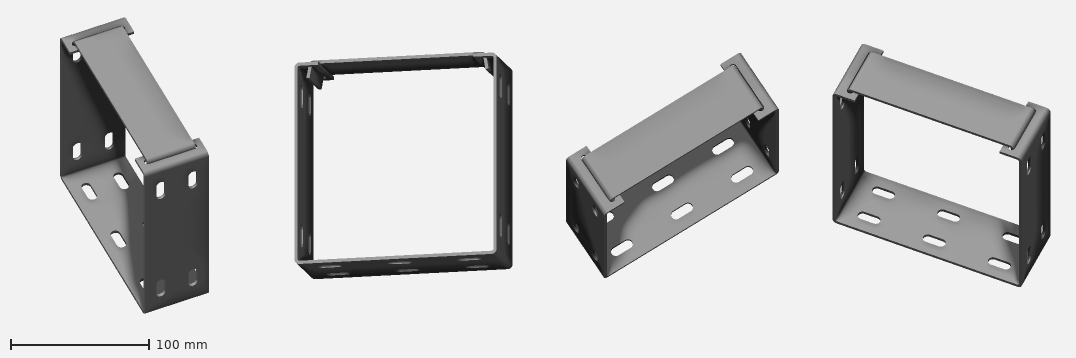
import cadquery as cq
import math

sheet = 2.4
bend_inner_radius = 1.25
bend_outer_radius = bend_inner_radius + sheet

bracket_width = 150.01
overall_height = 151.64
bracket_height = overall_height - sheet
bracket_depth = 50.8
lip_length = 17.6

slot_length = 17.5
slot_width = 7.1
slot_pitch = 51.6
slot_row_spacing = bracket_depth / 2
wall_slots_mid_z = 75.5
slot_rows = (-slot_row_spacing / 2, slot_row_spacing / 2)

leg_slot_length = 41.6
leg_slot_width = 5.0
leg_slot_inset = 11.1
leg_slot_x = bracket_width / 2 - leg_slot_inset

cover_depth = 38.1
cover_height = 13.0
cover_corner_width = 130.8
leg_lean = math.radians(10)


def make_bracket():
    outer = (
        cq.Workplane("XY")
        .box(bracket_width, bracket_depth, bracket_height, centered=(True, True, False))
        .edges("|Y")
        .fillet(bend_outer_radius)
    )
    inner = (
        cq.Workplane("XY", origin=(0, 0, sheet))
        .box(
            bracket_width - 2 * sheet,
            bracket_depth,
            bracket_height - 2 * sheet,
            centered=(True, True, False),
        )
        .edges("|Y")
        .fillet(bend_inner_radius)
    )
    top_opening = cq.Workplane("XY", origin=(0, 0, bracket_height / 2)).box(
        bracket_width - 2 * lip_length, bracket_depth, bracket_height, centered=(True, True, False)
    )
    frame = outer.cut(inner).cut(top_opening)
    return frame.cut(floor_slots()).cut(wall_slots()).cut(leg_slots()).solids()


def floor_slots():
    centers = [(x, y) for x in (-slot_pitch, 0, slot_pitch) for y in slot_rows]
    return cq.Workplane("XY").pushPoints(centers).slot2D(slot_length, slot_width).extrude(sheet)


def wall_slots():
    """Cutters that pass through both side walls."""
    levels = (wall_slots_mid_z - slot_pitch, wall_slots_mid_z + slot_pitch)
    centers = [(y, z) for y in slot_rows for z in levels]
    return (
        cq.Workplane("YZ")
        .pushPoints(centers)
        .slot2D(slot_length, slot_width, 90)
        .extrude(bracket_width / 2, both=True)
    )


def leg_slots():
    return (
        cq.Workplane("XY", origin=(0, 0, bracket_height - sheet))
        .pushPoints([(-leg_slot_x, 0), (leg_slot_x, 0)])
        .slot2D(leg_slot_length, leg_slot_width, 90)
        .extrude(sheet)
    )


def make_cover():
    leg_end_rise = sheet * math.sin(leg_lean)
    leg_end_run = sheet * math.cos(leg_lean)
    outer_drop = cover_height - leg_end_rise

    outer_corner_x = cover_corner_width / 2
    outer_end_x = outer_corner_x + outer_drop * math.tan(leg_lean)
    outer_end_z = overall_height - outer_drop
    inner_end_x = outer_end_x - leg_end_run
    inner_end_z = overall_height - cover_height
    inner_corner_x = inner_end_x - (bracket_height - inner_end_z) * math.tan(leg_lean)

    right_half = [
        (outer_corner_x, overall_height),
        (outer_end_x, outer_end_z),
        (inner_end_x, inner_end_z),
        (inner_corner_x, bracket_height),
    ]
    left_half = [(-x, z) for x, z in reversed(right_half)]
    cover = (
        cq.Workplane("XZ")
        .polyline(right_half + left_half)
        .close()
        .extrude(cover_depth / 2, both=True)
    )
    cover = cover.edges("|Y and >Z").fillet(bend_outer_radius)
    for side in (-1, 1):
        inner_corner = (side * inner_corner_x, 0, bracket_height)
        cover = cover.edges(cq.selectors.NearestToPointSelector(inner_corner)).fillet(bend_inner_radius)
    return cover


bracket = make_bracket()
cover = make_cover()

result = cq.Compound.makeCompound([bracket.val(), cover.val()])